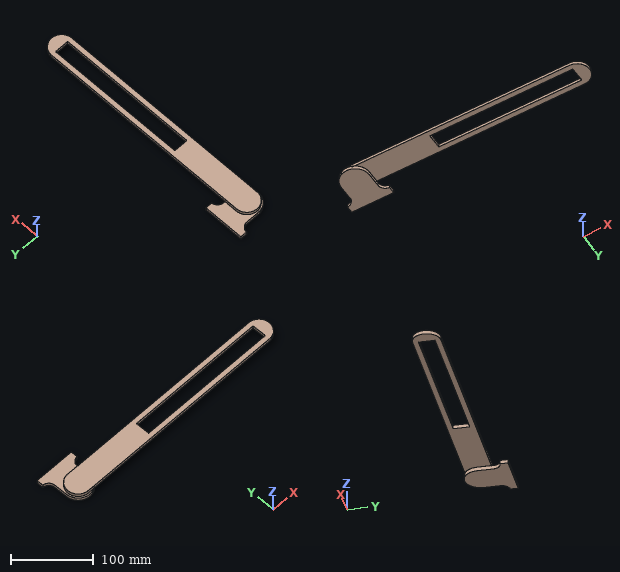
import cadquery as cq

total_length = 362.5
plate_thickness = 5.0

head_width = 59.8
bracket_depth = 60.0
head_thickness = 10.0
stem_width = 40.0
stem_radius = stem_width / 2
head_half_width = head_width / 2
fillet_radius = head_half_width - stem_radius
head_top = bracket_depth - stem_radius
head_bottom = head_top - head_thickness

arm_width = 35.0
arm_radius = arm_width / 2
arm_end_centre = total_length - head_half_width - arm_radius

slot_length = 202.5
slot_width = 20.3


def make_bracket():
    """T-shaped plate with a round foot and concave corners under the head."""
    fillet_end = head_bottom - fillet_radius
    fillet_mid_offset = fillet_radius * 0.5 ** 0.5
    fillet_mid_x = head_half_width - fillet_mid_offset
    fillet_mid_y = fillet_end + fillet_mid_offset
    return (
        cq.Workplane("XY")
        .moveTo(-stem_radius, 0)
        .threePointArc((0, -stem_radius), (stem_radius, 0))
        .lineTo(stem_radius, fillet_end)
        .threePointArc((fillet_mid_x, fillet_mid_y), (head_half_width, head_bottom))
        .lineTo(head_half_width, head_top)
        .lineTo(-head_half_width, head_top)
        .lineTo(-head_half_width, head_bottom)
        .threePointArc((-fillet_mid_x, fillet_mid_y), (-stem_radius, fillet_end))
        .close()
        .extrude(plate_thickness)
    )


def make_arm():
    """Long round-ended plate with a rectangular slot through it."""
    arm = (
        cq.Workplane("XY", origin=(0, 0, plate_thickness))
        .center(arm_end_centre / 2, 0)
        .slot2D(arm_end_centre + arm_width, arm_width)
        .extrude(plate_thickness)
    )
    slot = (
        cq.Workplane("XY", origin=(0, 0, plate_thickness))
        .center(arm_end_centre - slot_length / 2, 0)
        .rect(slot_length, slot_width)
        .extrude(plate_thickness)
    )
    return arm.cut(slot)


result = make_bracket().union(make_arm())